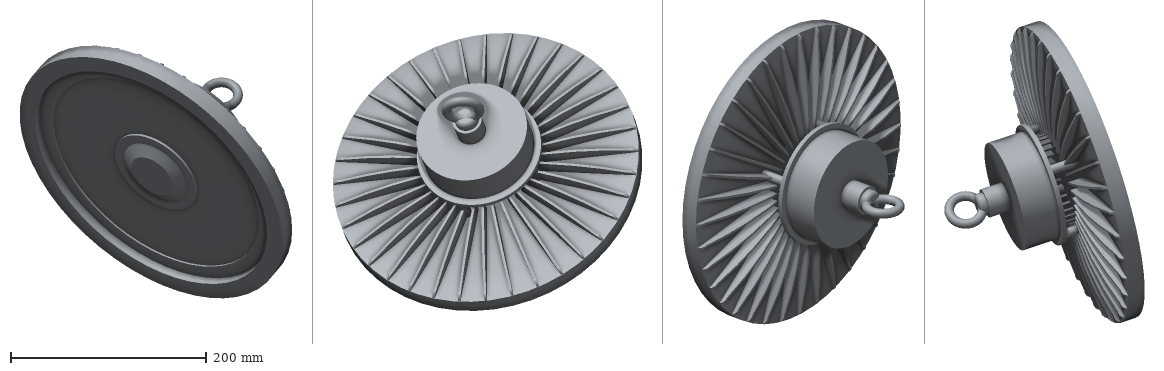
import cadquery as cq
import math


SINK_DIAMETER = 320.0
RIM_DEPTH = 18.2
RECESS_DIAMETER = 282.0
RECESS_DEPTH = 14.0
FIN_COUNT = 36
FIN_THICKNESS = 2.5
FIN_INNER_RADIUS = 50.0
FIN_TOP = 33.0
FIN_FLAT_RADIUS = 67.2
FIN_ARC_RADIUS = 352.0
FIN_OUTER_RADIUS = 159.5
FIN_CORNER_RUN = 8.0
POST_COUNT = 4
POST_DIAMETER = 10.0
POST_CIRCLE_RADIUS = 56.3
POST_ANGLE = 20.0

LENS_DIAMETER = 281.0
LENS_FRONT = 9.0
LENS_WINDOW_DIAMETER = 251.0
LENS_WINDOW_DEPTH = 2.0

SENSOR_DIAMETER = 98.5
SENSOR_PLATE_THICKNESS = 2.5
SENSOR_CONE_DIAMETER = 76.8
SENSOR_TIP_DIAMETER = 50.2
SENSOR_CONE_HEIGHT = 6.0

FLANGE_FRONT = 47.7
FLANGE_DIAMETER = 130.0
FLANGE_THICKNESS = 4.8
HOUSING_DIAMETER = 116.0
HOUSING_BACK = 89.5
STEM_DIAMETER = 30.5
STEM_BACK = 112.0

COLLAR_DIAMETER = 24.3
COLLAR_HEIGHT = 9.0
COLLAR_ROUNDING = 4.8
RING_OUTER_DIAMETER = 44.0
RING_WIRE_DIAMETER = 10.0
OVERALL_DEPTH = 155.2


def disc(diameter, front, back):
    """Cylinder on the Y axis between two Y positions."""
    return cq.Workplane("XZ", origin=(0, front, 0)).circle(diameter / 2).extrude(front - back)


def fin():
    """Radial fin on the +X side, with a flat inner top and an arched outer slope."""
    corner_inner_radius = FIN_OUTER_RADIUS - FIN_CORNER_RUN

    def slope_height(radius):
        run = radius - FIN_FLAT_RADIUS
        return FIN_TOP - FIN_ARC_RADIUS + math.sqrt(FIN_ARC_RADIUS**2 - run**2)

    middle_radius = (FIN_FLAT_RADIUS + corner_inner_radius) / 2
    corner_drop = slope_height(corner_inner_radius) - RIM_DEPTH
    corner_middle = (
        corner_inner_radius + FIN_CORNER_RUN * math.sqrt(0.5),
        RIM_DEPTH + corner_drop * math.sqrt(0.5),
    )
    return (
        cq.Workplane("XY", origin=(0, 0, -FIN_THICKNESS / 2))
        .moveTo(FIN_INNER_RADIUS, RIM_DEPTH)
        .lineTo(FIN_INNER_RADIUS, FIN_TOP)
        .lineTo(FIN_FLAT_RADIUS, FIN_TOP)
        .threePointArc(
            (middle_radius, slope_height(middle_radius)),
            (corner_inner_radius, slope_height(corner_inner_radius)),
        )
        .threePointArc(corner_middle, (FIN_OUTER_RADIUS, RIM_DEPTH))
        .close()
        .extrude(FIN_THICKNESS)
    )


def post():
    """Post on the +X side that carries the driver flange."""
    return disc(POST_DIAMETER, RIM_DEPTH, FLANGE_FRONT).translate((POST_CIRCLE_RADIUS, 0, 0))


def turned(shape, angle):
    """The shape turned about the lamp axis, from +X towards +Z."""
    return shape.rotate((0, 0, 0), (0, 1, 0), -angle)


def heat_sink():
    body = disc(SINK_DIAMETER, 0, RIM_DEPTH).cut(disc(RECESS_DIAMETER, 0, RECESS_DEPTH))
    one_fin = fin()
    for index in range(FIN_COUNT):
        body = body.union(turned(one_fin, index * 360 / FIN_COUNT))
    one_post = post()
    for index in range(POST_COUNT):
        body = body.union(turned(one_post, POST_ANGLE + index * 360 / POST_COUNT))
    return body


def lens():
    window = disc(LENS_WINDOW_DIAMETER, LENS_FRONT, LENS_FRONT + LENS_WINDOW_DEPTH)
    return disc(LENS_DIAMETER, LENS_FRONT, RECESS_DEPTH).cut(window)


def sensor():
    """Round plate with a truncated cone on its front."""
    back = LENS_FRONT + LENS_WINDOW_DEPTH
    plate_front = back - SENSOR_PLATE_THICKNESS
    tip = plate_front - SENSOR_CONE_HEIGHT
    return (
        cq.Workplane("XY")
        .moveTo(0, back)
        .lineTo(SENSOR_DIAMETER / 2, back)
        .lineTo(SENSOR_DIAMETER / 2, plate_front)
        .lineTo(SENSOR_CONE_DIAMETER / 2, plate_front)
        .lineTo(SENSOR_TIP_DIAMETER / 2, tip)
        .lineTo(0, tip)
        .close()
        .revolve(360, (0, 0, 0), (0, 1, 0))
    )


def driver():
    flange_back = FLANGE_FRONT + FLANGE_THICKNESS
    flange = disc(FLANGE_DIAMETER, FLANGE_FRONT, flange_back)
    housing = disc(HOUSING_DIAMETER, flange_back, HOUSING_BACK)
    stem = disc(STEM_DIAMETER, HOUSING_BACK, STEM_BACK)
    return flange.union(housing).union(stem)


def eye_bolt():
    """Ring in the XY plane, standing on a collar with a rounded back edge."""
    collar = disc(COLLAR_DIAMETER, STEM_BACK, STEM_BACK + COLLAR_HEIGHT)
    collar = collar.faces(">Y").edges().fillet(COLLAR_ROUNDING)
    ring_center = OVERALL_DEPTH - RING_OUTER_DIAMETER / 2
    ring_mean_radius = (RING_OUTER_DIAMETER - RING_WIRE_DIAMETER) / 2
    ring = cq.Workplane(
        cq.Solid.makeTorus(
            ring_mean_radius, RING_WIRE_DIAMETER / 2, cq.Vector(0, ring_center, 0), cq.Vector(0, 0, 1)
        )
    )
    return collar.union(ring)


result = cq.Compound.makeCompound(
    [heat_sink().val(), lens().val(), sensor().val(), driver().val(), eye_bolt().val()]
)